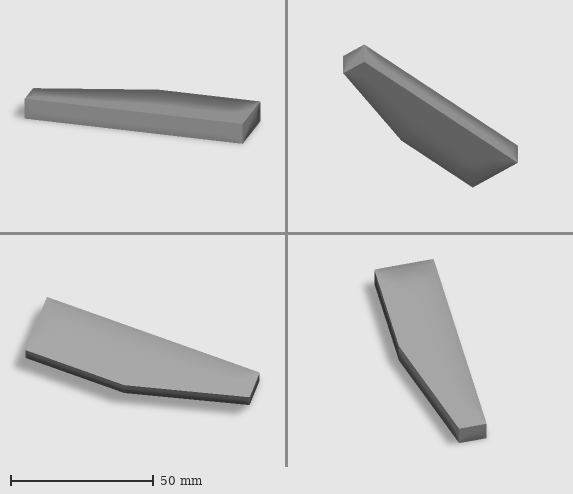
import cadquery as cq

length = 80.0
width = 21.45
thickness = 7.6

narrow_end_width = 10.0
taper_length = 42.8

outline = [
    (0, 0),
    (length, 0),
    (length, width),
    (taper_length, width),
    (0, narrow_end_width),
]

result = cq.Workplane("XY").polyline(outline).close().extrude(thickness)